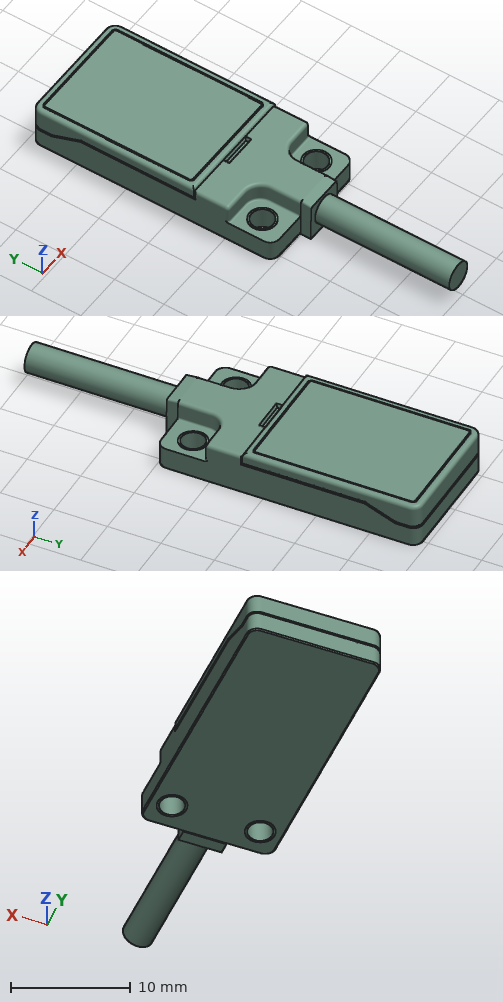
import cadquery as cq

total_length = 39.15
width = 12.0
total_height = 4.2

body_length = 24.5
body_top = 3.9
corner_radius = 0.95
edge_radius = 0.35
bottom_chamfer = 0.1
ear_top = 2.15
step_y = 4.55
neck_width = 3.9
neck_corner_radius = 1.53
step_corner_radius = 0.3
foot_radius = 0.175

nose_length = 1.05
nose_drop = 0.1
nose_edge_radius = 0.2
nose_side_lean = 0.08

cover_front_y = 8.03
seam_low_z = 2.1
seam_high_z = 3.2
seam_flat = 2.1
seam_rise_end = 5.0
seam_gap = 0.2
seam_depth = 0.1

notch_width = 3.25
notch_length = 0.6
notch_depth = 0.3
notch_taper = 25.0

label_border = 0.63
label_gap = 0.1
label_depth = 0.25
label_corner_radius = 0.35

bushing_x = 4.0
bushing_y = 2.45
bushing_outer_d = 2.6
bushing_inner_d = 2.2

cable_d = 2.7
cable_z = 2.05
cable_insertion = 2.35

near = 0.05

half_width = width / 2
neck_half = neck_width / 2
back_y = body_length
cable_end_y = back_y - total_length
recess_width = width - 2 * label_border
recess_length = back_y - cover_front_y - 2 * label_border
cover_mid_y = (back_y + cover_front_y) / 2


def block(x_size, y_min, y_max, z_min, z_max):
    """Box centred across X, given by its Y and Z limits."""
    return cq.Workplane("XY").box(
        x_size, y_max - y_min, z_max - z_min, centered=(True, False, False)
    ).translate((0, y_min, z_min))


def above_seam(front_y, drop):
    """Everything above the parting line, behind front_y, with the line lowered by drop."""
    past_back = back_y + corner_radius
    return (
        cq.Workplane("YZ")
        .moveTo(front_y, total_height)
        .lineTo(front_y, seam_high_z - drop)
        .lineTo(back_y - seam_rise_end, seam_high_z - drop)
        .lineTo(back_y - seam_flat, seam_low_z - drop)
        .lineTo(past_back, seam_low_z - drop)
        .lineTo(past_back, total_height)
        .close()
        .extrude(half_width + corner_radius, both=True)
    )


def full_height_blank():
    """Housing outline at full height."""
    blank = block(width, 0, back_y, 0, body_top)
    return blank.edges("|Z").fillet(corner_radius).faces("<Z").chamfer(bottom_chamfer)


def ear_clearance():
    """Space above the +X ear, rounded along the foot of the wall and the neck."""
    arc_x = neck_half + neck_corner_radius
    arc_y = step_y - neck_corner_radius
    outer_x = half_width + neck_corner_radius
    space = (
        cq.Workplane("XY", origin=(0, 0, ear_top))
        .moveTo(neck_half, -nose_length)
        .lineTo(neck_half, arc_y)
        .radiusArc((arc_x, step_y), neck_corner_radius)
        .lineTo(half_width - step_corner_radius, step_y)
        .radiusArc((half_width, step_y + step_corner_radius), -step_corner_radius)
        .lineTo(outer_x, step_y + step_corner_radius)
        .lineTo(outer_x, -nose_length)
        .close()
        .extrude(total_height)
    )
    wall_foot = cq.selectors.BoxSelector(
        (neck_half - near, 0, ear_top - near),
        (half_width, step_y + step_corner_radius, ear_top + near),
    )
    return space.edges(wall_foot).fillet(foot_radius)


def round_top_edges(body):
    """Round the top edges of the walls, neck and housing sides."""
    reach = half_width + near
    top_edges = cq.selectors.BoxSelector(
        (-reach, near, body_top - near),
        (reach, back_y - corner_radius, body_top + near),
    )
    return body.edges(top_edges).fillet(edge_radius)


def make_nose():
    """Block in front of the neck, with leaning sides, a sloping top and rounded top edges."""
    top_half = neck_half - nose_side_lean
    nose = (
        cq.Workplane("XZ")
        .moveTo(-neck_half, 0)
        .lineTo(-neck_half, cable_z)
        .lineTo(-top_half, body_top)
        .lineTo(top_half, body_top)
        .lineTo(neck_half, cable_z)
        .lineTo(neck_half, 0)
        .close()
        .extrude(nose_length)
    )
    wedge_above = (
        cq.Workplane("YZ")
        .moveTo(0, body_top)
        .lineTo(-nose_length, body_top - nose_drop)
        .lineTo(-nose_length, body_top)
        .close()
        .extrude(neck_half, both=True)
    )
    top_face = nose.cut(wedge_above).faces(">Z")
    return top_face.edges("<X or >X").fillet(nose_edge_radius)


def seam_groove():
    """Narrow groove around the outside, just under the cover."""
    core = block(width - 2 * seam_depth, 0, back_y - seam_depth, 0, total_height)
    core = core.edges("|Z").fillet(corner_radius - seam_depth)
    return above_seam(cover_front_y - seam_depth, seam_gap).cut(core)


def pry_notch():
    """Tapered pocket that opens toward the front edge of the cover."""
    return (
        cq.Workplane("XY", origin=(0, cover_front_y - notch_length / 2, body_top))
        .rect(notch_width, notch_length)
        .extrude(-notch_depth, taper=notch_taper)
    )


def bushing_sites():
    return cq.Workplane("XY").pushPoints([(-bushing_x, bushing_y), (bushing_x, bushing_y)])


def make_housing():
    space = ear_clearance()
    body = full_height_blank().cut(space).cut(space.mirror("YZ"))
    body = round_top_edges(body).union(make_nose())
    body = body.cut(above_seam(cover_front_y, 0)).cut(seam_groove()).cut(pry_notch())
    body = body.cut(bushing_sites().circle(bushing_outer_d / 2).extrude(ear_top))
    return body.cut(make_cable())


def label_blank(clearance):
    """Rounded plate at the top of the cover, smaller than the recess by clearance all round."""
    plate = cq.Workplane("XY", origin=(0, cover_mid_y, total_height)).rect(
        recess_width - 2 * clearance, recess_length - 2 * clearance
    ).extrude(-label_depth)
    return plate.edges("|Z").fillet(label_corner_radius - clearance)


def make_cover():
    cover = block(width, cover_front_y, back_y, 0, total_height)
    cover = cover.edges("|Z and >Y").fillet(corner_radius)
    cover = cover.faces(">Z").edges().fillet(edge_radius)
    return cover.intersect(above_seam(cover_front_y, 0)).cut(label_blank(0))


def make_label():
    return label_blank(label_gap)


def make_bushing(x):
    return (
        cq.Workplane("XY", origin=(x, bushing_y, 0))
        .circle(bushing_outer_d / 2)
        .circle(bushing_inner_d / 2)
        .extrude(ear_top)
    )


def make_cable():
    inner_end_y = cable_insertion - nose_length
    return (
        cq.Workplane("XZ", origin=(0, inner_end_y, cable_z))
        .circle(cable_d / 2)
        .extrude(inner_end_y - cable_end_y)
    )


housing = make_housing()
cover = make_cover()
label = make_label()
cable = make_cable()
bushings = [make_bushing(side * bushing_x) for side in (-1, 1)]

result = cq.Compound.makeCompound(
    [housing.val(), cover.val(), label.val(), cable.val(), *[bushing.val() for bushing in bushings]]
)